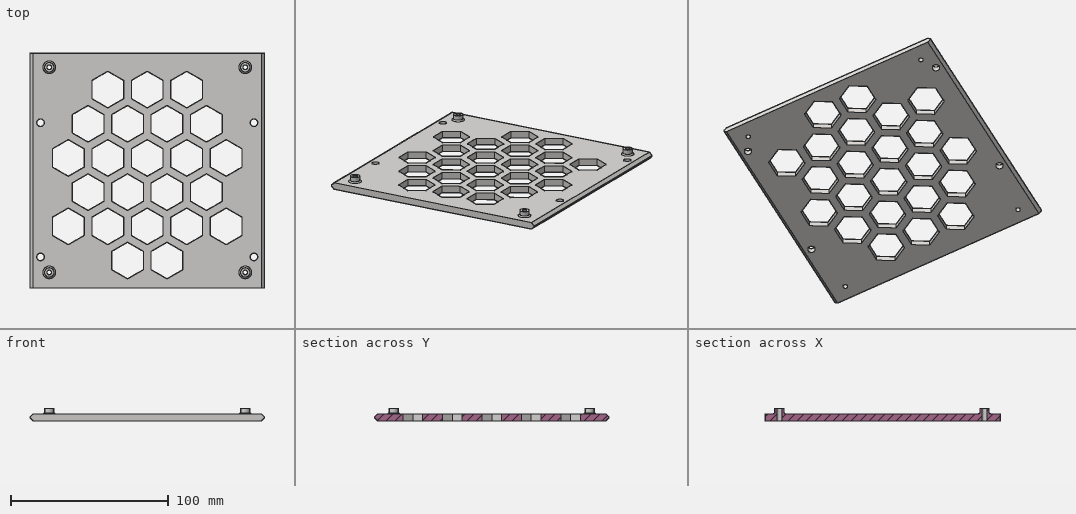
import cadquery as cq
import math

plate_width = 148.5
plate_length = 148.8
plate_thickness = 4.5
edge_bevel = 2.0

hex_across_flats = 20.0
hex_pitch = 25.0
hex_row_pitch = hex_pitch * math.sqrt(3) / 2
back_row_y = 51.4
openings_per_row = [3, 4, 5, 4, 5, 2]

standoff_diameter = 6.0
standoff_bore = 2.8
standoff_height = 3.5
standoff_x = 62.0
standoff_back_y = 65.5
standoff_front_y = -64.5
standoff_top = plate_thickness + standoff_height
standoff_centers = [
    (x, y)
    for x in (-standoff_x, standoff_x)
    for y in (standoff_front_y, standoff_back_y)
]
foot_diameter = 8.0
foot_height = 0.7

mounting_hole_diameter = 4.6
mounting_hole_x = 67.6
mounting_hole_back_y = 30.4
mounting_hole_front_y = -54.6
mounting_centers = [
    (x, y)
    for x in (-mounting_hole_x, mounting_hole_x)
    for y in (mounting_hole_front_y, mounting_hole_back_y)
]


def make_plate():
    """Flat plate with its bottom at Z = 0 and both side edges bevelled to a narrow flat."""
    base = cq.Workplane("XY")
    plate = base.box(plate_width, plate_length, plate_thickness, centered=(True, True, False))
    return plate.edges("|Y").chamfer(edge_bevel)


def honeycomb_centers():
    """Centres of the openings: every row is centred on X = 0."""
    centers = []
    for row, count in enumerate(openings_per_row):
        y = back_row_y - row * hex_row_pitch
        for column in range(count):
            centers.append(((column - (count - 1) / 2) * hex_pitch, y))
    return centers


def make_honeycomb():
    """Hexagonal prisms through the plate, with two sides parallel to Y."""
    hex_across_corners = hex_across_flats / math.cos(math.pi / 6)
    hexagon = cq.Sketch().regularPolygon(hex_across_corners / 2, 6)
    layout = cq.Workplane("XY").pushPoints(honeycomb_centers())
    return layout.placeSketch(hexagon).extrude(plate_thickness)


def make_cylinders(centers, diameter, bottom, top):
    """Upright cylinders of one diameter between two heights."""
    base = cq.Workplane("XY", origin=(0, 0, bottom))
    return base.pushPoints(centers).circle(diameter / 2).extrude(top - bottom)


def make_standoffs():
    """Solid standoffs on the plate, each flaring out to its foot at the bottom."""
    profile = (
        cq.Workplane("XZ")
        .moveTo(0, plate_thickness)
        .lineTo(foot_diameter / 2, plate_thickness)
        .lineTo(standoff_diameter / 2, plate_thickness + foot_height)
        .lineTo(standoff_diameter / 2, standoff_top)
        .lineTo(0, standoff_top)
        .close()
    )
    standoff = profile.revolve(360, (0, 0, 0), (0, 1, 0)).val()
    layout = cq.Workplane("XY").pushPoints(standoff_centers)
    return layout.eachpoint(lambda place: standoff.moved(place))


result = (
    make_plate()
    .cut(make_honeycomb())
    .cut(make_cylinders(mounting_centers, mounting_hole_diameter, 0, plate_thickness))
    .union(make_standoffs())
    .cut(make_cylinders(standoff_centers, standoff_bore, 0, standoff_top))
)